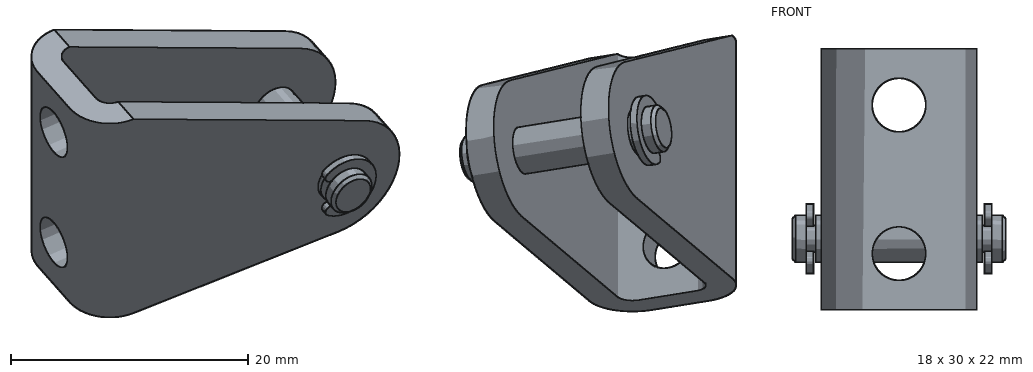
import cadquery as cq
import math

length = 30.0
height = 22.0
inner_width = 8.0
wall = 2.55
inner_bend_radius = 1.38
ear_radius = 6.0
mount_hole_diameter = 4.5
mount_hole_spacing = 12.5

pin_length = 18.0
pin_diameter = 4.0
pin_chamfer = 0.3
groove_inset = 1.17
groove_width = 0.8
groove_diameter = 2.3

clip_thickness = 0.63
clip_radius = 2.95
clip_tip_radius = 0.5
clip_tip_reach = 2.0
clip_mouth_half_gap = 1.05

web_face_y = -length / 2
ear_tip_y = length / 2
outer_width = inner_width + 2 * wall
outer_bend_radius = inner_bend_radius + wall
bend_end_y = web_face_y + outer_bend_radius
pin_y = ear_tip_y - ear_radius
pin_z = ear_radius


def make_bracket():
    """U-shaped bracket with tapered, rounded ears."""
    channel = (
        cq.Workplane("XY")
        .rect(outer_width, length)
        .extrude(height)
        .edges("|Z and <Y")
        .fillet(outer_bend_radius)
    )
    cavity = (
        cq.Workplane("XY")
        .center(0, wall)
        .rect(inner_width, length)
        .extrude(height)
        .edges("|Z and <Y")
        .fillet(inner_bend_radius)
    )

    run = bend_end_y - pin_y
    rise = height - pin_z
    slope_start_angle = math.atan2(rise, run)
    tangent_angle = slope_start_angle - math.acos(ear_radius / math.hypot(run, rise))
    tangent_point = (
        pin_y + ear_radius * math.cos(tangent_angle),
        pin_z + ear_radius * math.sin(tangent_angle),
    )
    side_outline = (
        cq.Workplane("YZ")
        .moveTo(web_face_y, 0)
        .lineTo(pin_y, 0)
        .threePointArc((ear_tip_y, pin_z), tangent_point)
        .lineTo(bend_end_y, height)
        .lineTo(web_face_y, height)
        .close()
        .extrude(outer_width / 2, both=True)
    )

    mount_holes = (
        cq.Workplane("XZ", origin=(0, web_face_y + wall, height / 2))
        .pushPoints([(0, -mount_hole_spacing / 2), (0, mount_hole_spacing / 2)])
        .circle(mount_hole_diameter / 2)
        .extrude(wall)
    )
    pin_hole = (
        cq.Workplane("YZ")
        .center(pin_y, pin_z)
        .circle(pin_diameter / 2)
        .extrude(outer_width / 2, both=True)
    )
    return channel.cut(cavity).intersect(side_outline).cut(mount_holes).cut(pin_hole)


def make_pin():
    """Chamfered pin with a clip groove near each end."""
    pin = (
        cq.Workplane("YZ")
        .center(pin_y, pin_z)
        .circle(pin_diameter / 2)
        .extrude(pin_length / 2, both=True)
        .faces("<X or >X")
        .chamfer(pin_chamfer)
    )
    groove_start = pin_length / 2 - groove_inset - groove_width
    groove = (
        cq.Workplane("YZ", origin=(groove_start, pin_y, pin_z))
        .circle(pin_diameter / 2)
        .circle(groove_diameter / 2)
        .extrude(groove_width)
    )
    return pin.cut(groove).cut(groove.mirror("YZ"))


def make_clip(side):
    """Open retaining clip against the outer groove wall; side is -1 or +1 along X."""
    tip_y = clip_tip_radius - clip_tip_reach
    tip_distance = clip_radius - clip_tip_radius
    tip_z = math.sqrt(tip_distance**2 - tip_y**2)
    groove_radius = groove_diameter / 2
    mouth_y = -math.sqrt(groove_radius**2 - clip_mouth_half_gap**2)

    outer_y = tip_y * clip_radius / tip_distance
    outer_z = tip_z * clip_radius / tip_distance
    arm_z = tip_z - clip_tip_radius

    clip_center_x = side * (pin_length / 2 - groove_inset - clip_thickness / 2)
    return (
        cq.Workplane("YZ", origin=(clip_center_x, pin_y, pin_z))
        .moveTo(outer_y, outer_z)
        .threePointArc((clip_radius, 0), (outer_y, -outer_z))
        .threePointArc((-clip_tip_reach, -tip_z), (tip_y, -arm_z))
        .lineTo(mouth_y, -clip_mouth_half_gap)
        .threePointArc((groove_radius, 0), (mouth_y, clip_mouth_half_gap))
        .lineTo(tip_y, arm_z)
        .threePointArc((-clip_tip_reach, tip_z), (outer_y, outer_z))
        .close()
        .extrude(clip_thickness / 2, both=True)
    )


bracket = make_bracket()
pin = make_pin()
clips = [make_clip(side) for side in (-1, 1)]

result = cq.Compound.makeCompound([bracket.val(), pin.val(), *[clip.val() for clip in clips]])